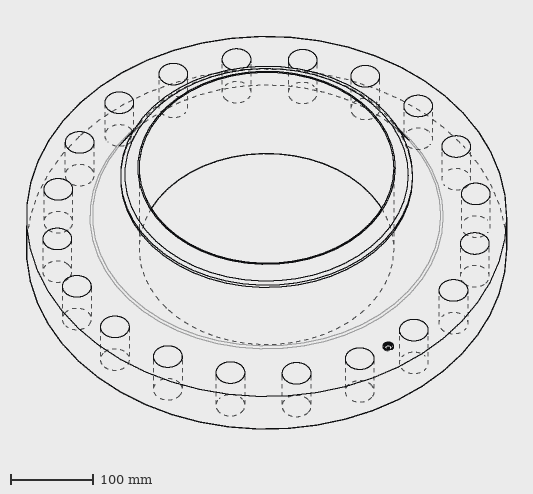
import cadquery as cq
import math

FLANGE_DIAMETER = 584.0
FLANGE_THICKNESS = 60.0
TOTAL_HEIGHT = 149.5
BORE_DIAMETER = 309.5

HUB_BASE_RADIUS = 212.5
HUB_FILLET = 3.5
NECK_RADIUS = 177.5
NECK_BOTTOM_Z = 131.0
NECK_TOP_Z = 135.0
BEVEL_START_RADIUS = 172.0
BEVEL_START_Z = 136.5
LAND_WIDTH = 2.0

BOLT_COUNT = 20
BOLT_CIRCLE_DIAMETER = 514.0
BOLT_HOLE_DIAMETER = 35.0

RECESS_STEP_DIAMETERS = [13.0, 9.5, 3.5]
RECESS_STEP_DEPTH = 2.0

FLANGE_RADIUS = FLANGE_DIAMETER / 2
BORE_RADIUS = BORE_DIAMETER / 2
BOLT_CIRCLE_RADIUS = BOLT_CIRCLE_DIAMETER / 2
BOLT_SPACING_ANGLE = 360.0 / BOLT_COUNT


def flange_body():
    """Disc, tapered hub and welding end, revolved about Z as one profile."""
    taper_angle = math.atan2(NECK_BOTTOM_Z - FLANGE_THICKNESS, HUB_BASE_RADIUS - NECK_RADIUS)
    tangent_length = HUB_FILLET * math.tan(taper_angle / 2)
    fillet_start = (HUB_BASE_RADIUS + tangent_length, FLANGE_THICKNESS)
    fillet_end = (
        HUB_BASE_RADIUS - tangent_length * math.cos(taper_angle),
        FLANGE_THICKNESS + tangent_length * math.sin(taper_angle),
    )
    return (
        cq.Workplane("XZ")
        .moveTo(BORE_RADIUS, 0)
        .lineTo(FLANGE_RADIUS, 0)
        .lineTo(FLANGE_RADIUS, FLANGE_THICKNESS)
        .lineTo(*fillet_start)
        .tangentArcPoint(fillet_end, relative=False)
        .lineTo(NECK_RADIUS, NECK_BOTTOM_Z)
        .lineTo(NECK_RADIUS, NECK_TOP_Z)
        .lineTo(BEVEL_START_RADIUS, BEVEL_START_Z)
        .lineTo(BORE_RADIUS + LAND_WIDTH, TOTAL_HEIGHT)
        .lineTo(BORE_RADIUS, TOTAL_HEIGHT)
        .close()
        .revolve(360, (0, 0, 0), (0, 1, 0))
    )


def bolt_holes():
    """Through holes spaced evenly on the bolt circle, the first one on +X."""
    return (
        cq.Workplane("XY")
        .polarArray(BOLT_CIRCLE_RADIUS, 0, 360, BOLT_COUNT)
        .circle(BOLT_HOLE_DIAMETER / 2)
        .extrude(FLANGE_THICKNESS)
    )


def cut_stepped_recess(body):
    """Sink shallow round steps into the top of the disc, half a bolt spacing from +X."""
    angle = math.radians(BOLT_SPACING_ANGLE / 2)
    center_x = BOLT_CIRCLE_RADIUS * math.cos(angle)
    center_y = BOLT_CIRCLE_RADIUS * math.sin(angle)
    for step, diameter in enumerate(RECESS_STEP_DIAMETERS, start=1):
        cutter = (
            cq.Workplane("XY", origin=(center_x, center_y, FLANGE_THICKNESS))
            .circle(diameter / 2)
            .extrude(-step * RECESS_STEP_DEPTH)
        )
        body = body.cut(cutter)
    return body


drilled_flange = flange_body().cut(bolt_holes())
result = cut_stepped_recess(drilled_flange)